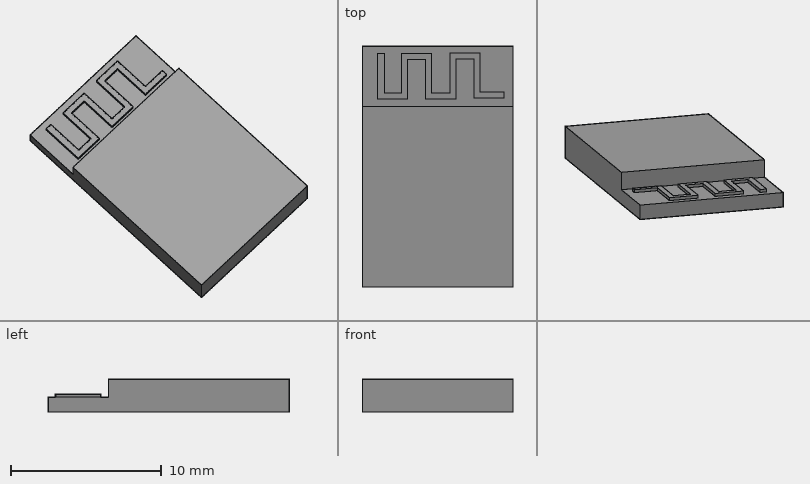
import cadquery as cq

board_width = 10.0
board_length = 16.0
board_thickness = 1.0

total_height = 2.2
antenna_strip_length = 4.0
cover_length = board_length - antenna_strip_length
cover_height = total_height - board_thickness

trace_width = 0.4
first_strand_width = 0.45
trace_height = 0.2
strand_pitch = 1.6
trace_side_margin = 1.0
trace_end_margin = 0.5
trace_length = 3.0
last_loop_offset = 0.05
tail_end_margin = 0.6

first_strand_x = -board_width / 2 + trace_side_margin + trace_width / 2
strand_x = [first_strand_x + i * strand_pitch for i in range(5)]
tail_tip_x = board_width / 2 - tail_end_margin
upper_y = board_length / 2 - trace_end_margin - trace_width / 2
lower_y = upper_y - trace_length + trace_width
last_upper_y = upper_y + last_loop_offset
tail_y = lower_y + last_loop_offset


def block(x_min, x_max, y_min, y_max, z_min, height):
    """Rectangular block given by its X and Y limits, its base and its height."""
    return cq.Workplane("XY").box(
        x_max - x_min, y_max - y_min, height, centered=False
    ).translate((x_min, y_min, z_min))


def trace_segment(start, end):
    """Straight piece of trace along a centreline, squared off half a width past each end."""
    half = trace_width / 2
    x_min, x_max = sorted((start[0], end[0]))
    y_min, y_max = sorted((start[1], end[1]))
    return block(
        x_min - half, x_max + half, y_min - half, y_max + half, board_thickness, trace_height
    )


def make_board():
    return block(
        -board_width / 2, board_width / 2, -board_length / 2, board_length / 2, 0, board_thickness
    )


def make_cover():
    front_y = -board_length / 2
    return block(
        -board_width / 2, board_width / 2, front_y, front_y + cover_length,
        board_thickness, cover_height,
    )


def make_antenna():
    half = trace_width / 2
    path = [
        (strand_x[0], lower_y),
        (strand_x[1], lower_y),
        (strand_x[1], upper_y),
        (strand_x[2], upper_y),
        (strand_x[2], lower_y),
        (strand_x[3], lower_y),
        (strand_x[3], last_upper_y),
        (strand_x[4], last_upper_y),
        (strand_x[4], tail_y),
        (tail_tip_x - half, tail_y),
    ]
    first_strand_left = strand_x[0] - half
    antenna = block(
        first_strand_left, first_strand_left + first_strand_width,
        lower_y - half, upper_y + half, board_thickness, trace_height,
    )
    for start, end in zip(path, path[1:]):
        antenna = antenna.union(trace_segment(start, end))
    return antenna


result = make_board().union(make_cover(), clean=False).union(make_antenna(), clean=False)